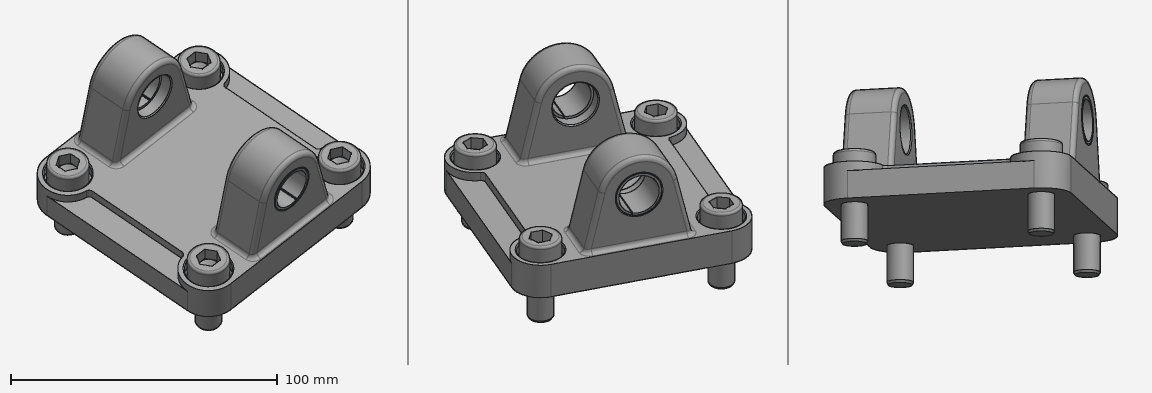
import cadquery as cq
import math

plate_side = 95.0
plate_top = 14.2
corner_radius = 11.5
screw_offset = plate_side / 2 - corner_radius

ledge_top = 10.5
ledge_inner_y = 36.6
ledge_corner_radius = 1.7

lug_outer_x = 45.0
lug_inner_x = 25.0
lug_base_half_width = 21.6
lug_top_radius = 16.0
lug_edge_radius = 2.0
lug_foot_radius = 2.0
pivot_z = 36.0

bushing_outer_radius = 9.0
bushing_inner_radius = 8.0
bushing_length = 15.0
bushing_gap_width = 0.5
bushing_gap_angle = 20.0
lug_bore_chamfer = 0.5

head_radius = 8.0
head_height = 10.0
head_edge_radius = 1.0
shank_radius = 5.0
shank_length = 25.0
shank_tip_length = 0.95
shank_tip_inset = 0.6
socket_flats = 8.0
socket_depth = 5.0
socket_cone_height = 2.6

seat_z = 10.0
counterbore_radius = 9.0
counterbore_chamfer = 0.5

corner_signs = [(-1, -1), (1, -1), (1, 1), (-1, 1)]
screw_places = [(sx * screw_offset, sy * screw_offset) for sx, sy in corner_signs]


def make_upper_layer():
    """Plate layer above the ledges: four round screw bosses joined by a straight-sided middle."""
    half_side = plate_side / 2
    diagonal = corner_radius * math.sqrt(0.5)
    centre_y = ledge_inner_y + ledge_corner_radius
    fillet_angle = math.asin((centre_y - screw_offset) / (corner_radius + ledge_corner_radius))
    centre_x = screw_offset - (corner_radius + ledge_corner_radius) * math.cos(fillet_angle)
    boss_end_x = screw_offset - corner_radius * math.cos(fillet_angle)
    boss_end_y = screw_offset + corner_radius * math.sin(fillet_angle)
    middle_angle = (math.pi / 2 + fillet_angle) / 2
    middle_x = centre_x + ledge_corner_radius * math.cos(middle_angle)
    middle_y = centre_y - ledge_corner_radius * math.sin(middle_angle)
    return (
        cq.Workplane("XY", origin=(0, 0, ledge_top))
        .moveTo(0, ledge_inner_y)
        .lineTo(centre_x, ledge_inner_y)
        .threePointArc((middle_x, middle_y), (boss_end_x, boss_end_y))
        .threePointArc((screw_offset - diagonal, screw_offset + diagonal), (screw_offset, half_side))
        .threePointArc((screw_offset + diagonal, screw_offset + diagonal), (half_side, screw_offset))
        .lineTo(half_side, 0)
        .mirrorX()
        .mirrorY()
        .extrude(plate_top - ledge_top)
    )


def make_plate():
    return (
        cq.Workplane("XY")
        .rect(plate_side, plate_side)
        .extrude(ledge_top)
        .edges("|Z")
        .fillet(corner_radius)
        .union(make_upper_layer())
    )


def make_lug(side):
    """Tapered lug with a round top; its flanks are tangent to the top arc."""
    rise = pivot_z - plate_top
    foot_distance = math.hypot(lug_base_half_width, rise)
    foot_angle = math.atan2(-rise, lug_base_half_width)
    tangent_angle = foot_angle + math.acos(lug_top_radius / foot_distance)
    tangent_y = lug_top_radius * math.cos(tangent_angle)
    tangent_z = pivot_z + lug_top_radius * math.sin(tangent_angle)
    start_x = lug_inner_x if side > 0 else -lug_outer_x
    return (
        cq.Workplane("YZ", origin=(start_x, 0, 0))
        .moveTo(-lug_base_half_width, plate_top)
        .lineTo(lug_base_half_width, plate_top)
        .lineTo(tangent_y, tangent_z)
        .threePointArc((0, pivot_z + lug_top_radius), (-tangent_y, tangent_z))
        .close()
        .extrude(lug_outer_x - lug_inner_x)
        .faces("|X")
        .edges("not <Z")
        .fillet(lug_edge_radius)
    )


def lug_foot_edges(side):
    """Selects the outline where one lug stands on the plate."""
    margin = 0.5
    x_near = side * (lug_inner_x - margin)
    x_far = side * (lug_outer_x + margin)
    y_limit = lug_base_half_width + margin
    return cq.selectors.BoxSelector(
        (x_near, -y_limit, plate_top - margin), (x_far, y_limit, plate_top + margin)
    )


def make_lug_bore(side):
    """Bore through one lug, with a chamfer at both mouths."""
    mouth_radius = bushing_outer_radius + lug_bore_chamfer
    return (
        cq.Workplane("XY")
        .moveTo(side * lug_inner_x, 0)
        .lineTo(side * lug_inner_x, mouth_radius)
        .lineTo(side * (lug_inner_x + lug_bore_chamfer), bushing_outer_radius)
        .lineTo(side * (lug_outer_x - lug_bore_chamfer), bushing_outer_radius)
        .lineTo(side * lug_outer_x, mouth_radius)
        .lineTo(side * lug_outer_x, 0)
        .close()
        .revolve(360, (0, 0, 0), (1, 0, 0))
        .translate((0, 0, pivot_z))
    )


def make_screw_hole():
    """Through hole with a chamfered counterbore, centred on the Z axis."""
    return (
        cq.Workplane("XZ")
        .lineTo(shank_radius, 0)
        .lineTo(shank_radius, seat_z)
        .lineTo(counterbore_radius, seat_z)
        .lineTo(counterbore_radius, plate_top - counterbore_chamfer)
        .lineTo(counterbore_radius + counterbore_chamfer, plate_top)
        .lineTo(0, plate_top)
        .close()
        .revolve(360, (0, 0, 0), (0, 1, 0))
    )


def make_bracket():
    bracket = make_plate()
    for side in (-1, 1):
        bracket = bracket.union(make_lug(side))
        bracket = bracket.edges(lug_foot_edges(side)).fillet(lug_foot_radius)
        bracket = bracket.cut(make_lug_bore(side))
    for x, y in screw_places:
        bracket = bracket.cut(make_screw_hole().translate((x, y, 0)))
    return bracket


def make_bushing(side):
    """Thin sleeve with one lengthwise gap in its wall."""
    start_x = lug_outer_x - bushing_length if side > 0 else -lug_outer_x
    sleeve = (
        cq.Workplane("YZ")
        .circle(bushing_outer_radius)
        .circle(bushing_inner_radius)
        .extrude(bushing_length)
    )
    gap_height = 2 * bushing_outer_radius
    gap = (
        cq.Workplane("XY", origin=(0, 0, -gap_height))
        .box(bushing_length, bushing_gap_width, gap_height, centered=(False, True, False))
        .rotate((0, 0, 0), (1, 0, 0), bushing_gap_angle)
    )
    return sleeve.cut(gap).translate((start_x, 0, pivot_z))


def make_screw(x, y, socket_turn):
    """Screw with its seating face at Z = seat_z; socket_turn rotates the hexagon."""
    cone_top = seat_z + head_height - socket_depth
    tip_z = seat_z - shank_length
    head = (
        cq.Workplane("XY", origin=(0, 0, seat_z))
        .circle(head_radius)
        .extrude(head_height)
        .faces(">Z")
        .edges()
        .fillet(head_edge_radius)
    )
    shank = (
        cq.Workplane("XZ")
        .moveTo(0, seat_z)
        .lineTo(shank_radius, seat_z)
        .lineTo(shank_radius, tip_z + shank_tip_length)
        .lineTo(shank_radius - shank_tip_inset, tip_z)
        .lineTo(0, tip_z)
        .close()
        .revolve(360, (0, 0, 0), (0, 1, 0))
    )
    socket_radius = socket_flats / math.sqrt(3)
    socket = (
        cq.Workplane("XY", origin=(0, 0, cone_top))
        .polygon(6, 2 * socket_radius)
        .extrude(socket_depth)
    )
    cone = (
        cq.Workplane("XZ")
        .moveTo(0, cone_top - socket_cone_height)
        .lineTo(socket_flats / 2, cone_top)
        .lineTo(0, cone_top)
        .close()
        .revolve(360, (0, 0, 0), (0, 1, 0))
    )
    socket = socket.union(cone).rotate((0, 0, 0), (0, 0, 1), socket_turn)
    return head.union(shank).cut(socket).translate((x, y, 0))


bracket = make_bracket()
bushings = [make_bushing(side) for side in (-1, 1)]
screws = [make_screw(x, y, 0 if x * y > 0 else 30) for x, y in screw_places]

result = cq.Compound.makeCompound(
    [bracket.val(), *[bushing.val() for bushing in bushings], *[screw.val() for screw in screws]]
)